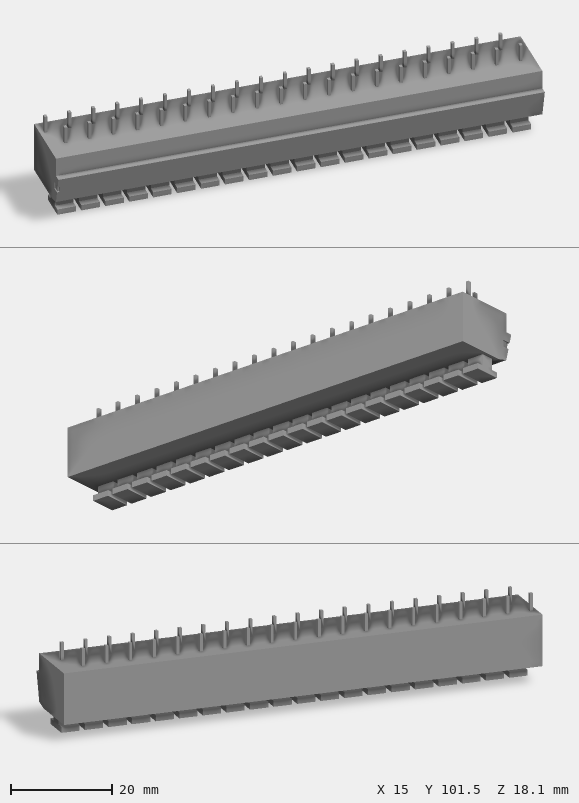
import cadquery as cq

length = 101.5
poles = 20
first_to_last_pole = 95.0
pole_pitch = first_to_last_pole / (poles - 1)
overall_height = 18.1

housing_bottom = 3.7
housing_top = 14.4
housing_width = 13.5
tip_x = 15.0
shelf_z = 10.4
chamfer_x = 11.2
chamfer_z = 4.3

notch_x = 12.6
notch_step_x = 13.8
notch_bottom = 6.9
notch_height = 1.4
notch_shallow_depth = 0.2
notch_deep_depth = 0.5

pin_x_size = 0.8
pin_y_size = 0.6
near_row_x = 3.2
row_spacing = pole_pitch
first_pin_y = 1.2

button_x = 8.7
button_length = 3.9
first_button_y = 2.8
stem_width = 2.8
foot_width = 5.9
foot_height = 1.2


def box(x, y, z, width, depth, height):
    """Box from its lowest X, Y, Z corner and its sizes."""
    return cq.Workplane("XY").box(width, depth, height, centered=False).translate((x, y, z))


def housing():
    outline = [
        (0, housing_bottom),
        (chamfer_x, housing_bottom),
        (housing_width, chamfer_z),
        (tip_x, shelf_z),
        (housing_width, shelf_z),
        (housing_width, housing_top),
        (0, housing_top),
    ]
    return cq.Workplane("XZ", origin=(0, length, 0)).polyline(outline).close().extrude(length)


def notch():
    shallow = box(notch_x, 0, notch_bottom, tip_x - notch_x, notch_shallow_depth, notch_height)
    deep = box(notch_step_x, 0, notch_bottom, tip_x - notch_step_x, notch_deep_depth, notch_height)
    return shallow.union(deep)


def pin(x, y):
    height = overall_height - housing_top
    return box(x - pin_x_size / 2, y - pin_y_size / 2, housing_top, pin_x_size, pin_y_size, height)


def button(y):
    start_y = y - button_length / 2
    stem = box(button_x - stem_width / 2, start_y, 0, stem_width, button_length, housing_bottom)
    foot = box(button_x - foot_width / 2, start_y, 0, foot_width, button_length, foot_height)
    return stem.union(foot)


result = housing().cut(notch())
for pole in range(poles):
    pole_y = pole * pole_pitch
    result = result.union(pin(near_row_x, first_pin_y + pole_y))
    result = result.union(pin(near_row_x + row_spacing, first_pin_y + pole_y + pole_pitch / 2))
    result = result.union(button(first_button_y + pole_y))